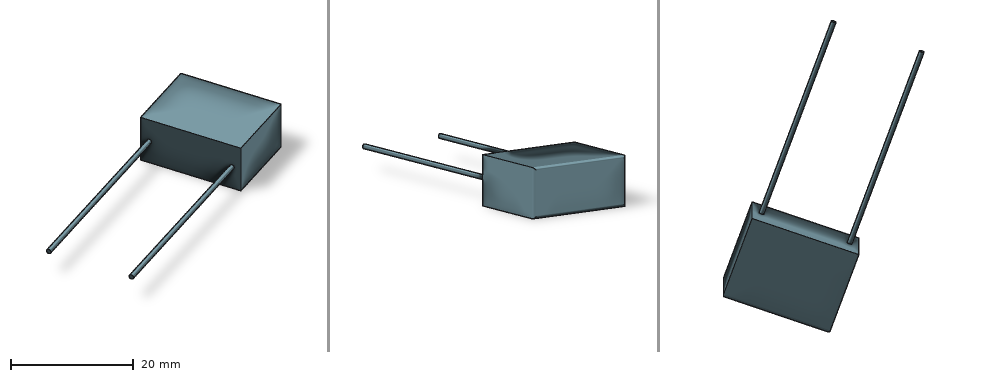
import cadquery as cq

total_length = 49.3
case_width = 18.5
case_height = 8.55
case_length = 14.35
edge_radius = 0.5

lead_diameter = 0.85
lead_spacing = 15.25
lead_length = total_length - case_length


def make_case():
    """Rectangular case standing on the plane Y = 0, with rounded edges around its far end."""
    block = cq.Workplane("XY").box(
        case_width, case_length, case_height, centered=(True, False, True)
    )
    return block.faces(">Y").edges().fillet(edge_radius)


def make_lead(x_position):
    """Straight round lead that runs from the flat face of the case toward -Y."""
    return (
        cq.Workplane("XZ", origin=(x_position, 0, 0))
        .circle(lead_diameter / 2)
        .extrude(lead_length)
    )


case = make_case()

leads = []
for side in (-1, 1):
    leads.append(make_lead(side * lead_spacing / 2))

result = cq.Compound.makeCompound([case.val(), *[lead.val() for lead in leads]])